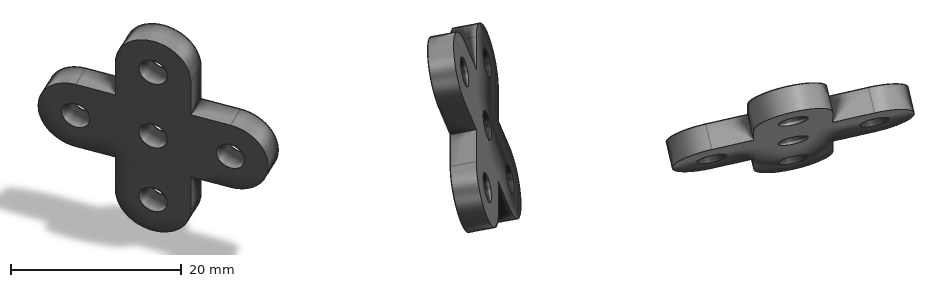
import cadquery as cq

overall_span = 29.08
arm_width = 9.525
thickness = 3.175
hole_diameter = 3.57

hole_pitch = (overall_span - arm_width) / 2


def round_ended_bar(angle):
    """Full-length bar with round ends, turned by angle in the XZ plane."""
    return (
        cq.Workplane("XZ")
        .slot2D(overall_span, arm_width, angle)
        .extrude(thickness / 2, both=True)
    )


def through_holes():
    """Cutters for one hole at the centre and one at the end of each arm."""
    centers = [
        (0, 0),
        (hole_pitch, 0),
        (-hole_pitch, 0),
        (0, hole_pitch),
        (0, -hole_pitch),
    ]
    return (
        cq.Workplane("XZ")
        .pushPoints(centers)
        .circle(hole_diameter / 2)
        .extrude(thickness, both=True)
    )


cross_plate = round_ended_bar(0).union(round_ended_bar(90)).clean()
result = cross_plate.cut(through_holes())